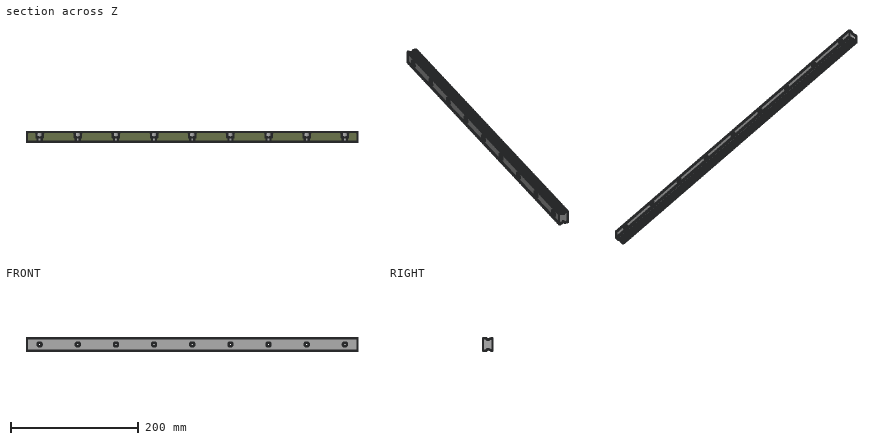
import cadquery as cq
import math

length = 520.0
height = 15.5
width = 20.0

hole_pitch = 60.0
hole_count = 9
bore_diameter = 6.0
counterbore_diameter = 9.5
counterbore_depth = 8.5

base_chamfer = 0.7
base_height = 5.2
shoulder_height = 6.2
waist_height = 7.7
land_bottom_height = 11.0
land_top_height = 12.3
head_flat_height = 13.9
head_chamfer = 0.8

head_angle = 30.0
land_angle = 8.0
waist_angle = 45.0


def taper(rise, angle):
    """Return the change in half-width over a rise along a flank sloped by angle degrees."""
    return rise * math.tan(math.radians(angle))


half_width = width / 2
land_top_half_width = half_width - taper(head_flat_height - land_top_height, head_angle)
land_bottom_half_width = land_top_half_width - taper(land_top_height - land_bottom_height, land_angle)
waist_half_width = land_bottom_half_width - taper(land_bottom_height - waist_height, head_angle)

shoulder_half_width = waist_half_width + taper(waist_height - shoulder_height, waist_angle)


def rail_body():
    """Extrude the symmetric rail section along X, centred on the origin."""
    upper_side = [
        (0, half_width - base_chamfer),
        (base_chamfer, half_width),
        (base_height, half_width),
        (shoulder_height, shoulder_half_width),
        (waist_height, waist_half_width),
        (land_bottom_height, land_bottom_half_width),
        (land_top_height, land_top_half_width),
        (head_flat_height, half_width),
        (height - head_chamfer, half_width),
        (height, half_width - head_chamfer),
    ]
    lower_side = [(rise, -half) for rise, half in reversed(upper_side)]
    outline = [(rise - height / 2, half) for rise, half in upper_side + lower_side]
    return cq.Workplane("YZ").polyline(outline).close().extrude(length / 2, both=True)


def drill_mounting_holes(body):
    """Drill the row of counterbored holes from the head (+Y) face."""
    first_hole = -hole_pitch * (hole_count - 1) / 2
    centres = [(first_hole + i * hole_pitch, 0) for i in range(hole_count)]
    head_face = cq.Workplane("XZ", origin=(0, height / 2, 0))
    bores = head_face.pushPoints(centres).circle(bore_diameter / 2).extrude(height)
    counterbores = (
        head_face.pushPoints(centres).circle(counterbore_diameter / 2).extrude(counterbore_depth)
    )
    return body.cut(bores).cut(counterbores)


result = drill_mounting_holes(rail_body())